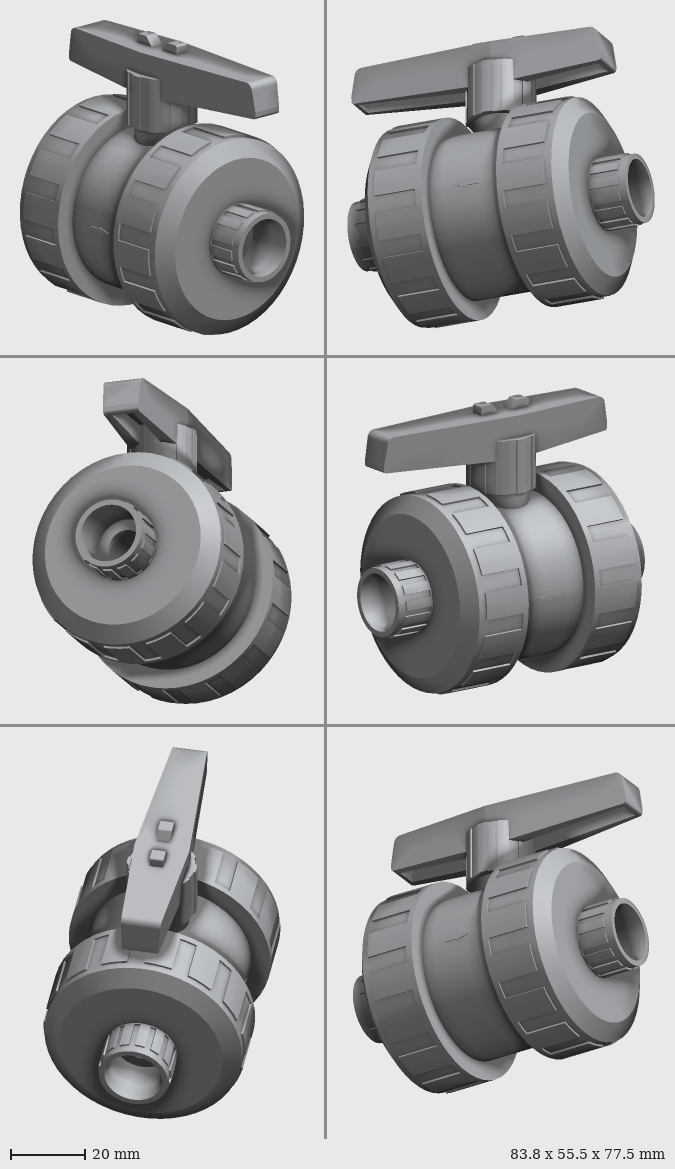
import cadquery as cq


body_dia = 45.0
bore_dia = 10.0

nut_inner_x = 11.1
nut_outer_x = 30.2
nut_dia = 55.5
nut_floor_dia = 54.35
nut_collar = 1.8
nut_pad_end_x = 25.1
nut_chamfer_x = 27.2
nut_face_dia = 45.0

spigot_end_x = 41.3
spigot_dia = 19.0
spigot_rib_dia = 20.0
spigot_collar = 0.4
spigot_rib_end_x = 38.95
socket_dia = 16.0
socket_depth = 13.4

pad_count = 14
pad_angle = 15.7
first_pad_angle = -85

cutter_wall = 1.7

arrow_height = 0.25
arrow_tail_x = -3.6
arrow_tip_x = 3.8
arrow_shaft_half = 0.6
arrow_head_half = 1.0

stem_dia = 15.0
stem_root_z = 16.75
hub_bottom_z = 26
hub_top_z = 41
hub_dia = 19.1
hub_floor_dia = 18.25
hub_tooth_count = 10
hub_tooth_angle = 18
hub_first_tooth = 90

handle_mid_x = -0.25
handle_left_x = -31.9
handle_right_x = 42.5
handle_top_z = 47.2
handle_mid_bottom_z = 34.9
handle_end_bottom_z = 37.35
end_straight_z = 39.4
end_lean = 1.4
handle_mid_half_width = 7.5
handle_narrowing = 0.069
handle_draft = 2
handle_top_fillet = 2.1
handle_bottom_fillet = 0.8

channel_width = 6.0
channel_end_wall = 1.7

lug_top_z = 49.8
lug_width = 3.8
lug_outer_x = 7.95
lug_inner_top_x = 4.2
lug_inner_base_x = 2.0
lug_fillet = 0.6


def cylinder(dia, start, end):
    """Cylinder about Z between two heights."""
    return cq.Workplane("XY").workplane(offset=start).circle(dia / 2).extrude(end - start)


def tooth_cutter(floor_dia, start, end, tooth_end, count, tooth_angle, first_tooth):
    """Ring about Z from start to end that leaves teeth standing up to tooth_end."""
    floor_radius = floor_dia / 2
    ring = cylinder(floor_dia + 2 * cutter_wall, start, end).cut(cylinder(floor_dia, start, end))
    section = (
        cq.Workplane("XZ")
        .moveTo(floor_radius - cutter_wall, start - cutter_wall)
        .lineTo(floor_radius + 2 * cutter_wall, start - cutter_wall)
        .lineTo(floor_radius + 2 * cutter_wall, tooth_end)
        .lineTo(floor_radius - cutter_wall, tooth_end)
        .close()
    )
    tooth = section.revolve(tooth_angle, (0, 0, 0), (0, 1, 0))
    for i in range(count):
        turn = first_tooth - tooth_angle / 2 + i * 360 / count
        ring = ring.cut(tooth.rotate((0, 0, 0), (0, 0, 1), turn))
    return ring


def make_end():
    """One nut with its spigot, pointing along +Z."""
    nut = (
        cq.Workplane("XZ")
        .moveTo(0, nut_inner_x)
        .lineTo(nut_dia / 2, nut_inner_x)
        .lineTo(nut_dia / 2, nut_chamfer_x)
        .lineTo(nut_floor_dia / 2, nut_chamfer_x)
        .lineTo(nut_face_dia / 2, nut_outer_x)
        .lineTo(0, nut_outer_x)
        .close()
        .revolve(360, (0, 0, 0), (0, 1, 0))
    )
    nut = nut.cut(tooth_cutter(
        nut_floor_dia, nut_inner_x + nut_collar, nut_outer_x, nut_pad_end_x,
        pad_count, pad_angle, first_pad_angle,
    ))
    spigot = cylinder(spigot_rib_dia, nut_outer_x, spigot_end_x)
    spigot = spigot.cut(tooth_cutter(
        spigot_dia, nut_outer_x + spigot_collar, spigot_end_x + cutter_wall, spigot_rib_end_x,
        pad_count, pad_angle, first_pad_angle,
    ))
    return nut.union(spigot)


def make_arrows():
    """Slightly raised flow arrows on the -Y and +Y flanks."""
    outline = [
        (arrow_tail_x, arrow_shaft_half),
        (0, arrow_shaft_half),
        (0, arrow_head_half),
        (arrow_tip_x, 0),
        (0, -arrow_head_half),
        (0, -arrow_shaft_half),
        (arrow_tail_x, -arrow_shaft_half),
    ]
    raised_radius = body_dia / 2 + arrow_height
    prism = cq.Workplane("XZ").polyline(outline).close().extrude(raised_radius + 0.8, both=True)
    skin = cq.Workplane("YZ").circle(raised_radius).extrude(nut_inner_x, both=True)
    return prism.intersect(skin)


def make_hub():
    """Stem with the serrated hub on top."""
    hub = cylinder(hub_dia, hub_bottom_z, hub_top_z)
    above_hub = hub_top_z + cutter_wall
    hub = hub.cut(tooth_cutter(
        hub_floor_dia, hub_bottom_z - cutter_wall, above_hub, above_hub,
        hub_tooth_count, hub_tooth_angle, hub_first_tooth,
    ))
    return hub.union(cylinder(stem_dia, stem_root_z, hub_bottom_z))


def make_handle():
    """Lever: a side profile trimmed by a drafted, tapering plan."""
    profile = (
        cq.Workplane("XZ")
        .moveTo(handle_mid_x, handle_mid_bottom_z)
        .lineTo(handle_right_x, handle_end_bottom_z)
        .lineTo(handle_right_x, end_straight_z)
        .lineTo(handle_right_x - end_lean, handle_top_z)
        .lineTo(handle_left_x + end_lean, handle_top_z)
        .lineTo(handle_left_x, end_straight_z)
        .lineTo(handle_left_x, handle_end_bottom_z)
        .close()
        .extrude(handle_mid_half_width, both=True)
    )
    corner_box = cq.selectors.BoxSelector
    margin = 0.8
    for x in (handle_left_x + end_lean, handle_right_x - end_lean):
        box = corner_box(
            (x - margin, -margin, handle_top_z - margin),
            (x + margin, margin, handle_top_z + margin),
        )
        profile = profile.edges(box).fillet(handle_top_fillet)
    for x in (handle_left_x, handle_right_x):
        box = corner_box(
            (x - margin, -margin, handle_end_bottom_z - margin),
            (x + margin, margin, handle_end_bottom_z + margin),
        )
        profile = profile.edges(box).fillet(handle_bottom_fillet)

    left = handle_left_x - margin
    right = handle_right_x + margin
    left_half = handle_mid_half_width - handle_narrowing * (handle_mid_x - left)
    right_half = handle_mid_half_width - handle_narrowing * (right - handle_mid_x)
    plan = (
        cq.Workplane("XY", origin=(0, 0, handle_top_z))
        .polyline([
            (left, left_half),
            (handle_mid_x, handle_mid_half_width),
            (right, right_half),
            (right, -right_half),
            (handle_mid_x, -handle_mid_half_width),
            (left, -left_half),
        ])
        .close()
        .extrude(handle_mid_bottom_z - handle_top_z, taper=handle_draft)
    )
    return profile.intersect(plan)


def make_channel():
    """Slot in the underside of the handle, up to the level of the hub top."""
    start = handle_left_x + channel_end_wall
    end = handle_right_x - channel_end_wall
    return (
        cq.Workplane("XY", origin=((start + end) / 2, 0, 0))
        .rect(end - start, channel_width)
        .extrude(hub_top_z)
    )


def make_lug():
    """Stop lug on the +X side of the handle top, with a sloped inner face."""
    return (
        cq.Workplane("XZ")
        .moveTo(lug_inner_base_x, handle_top_z)
        .lineTo(lug_outer_x, handle_top_z)
        .lineTo(lug_outer_x, lug_top_z)
        .lineTo(lug_inner_top_x, lug_top_z)
        .close()
        .extrude(lug_width / 2, both=True)
        .edges("|Y and >Z")
        .fillet(lug_fillet)
    )


end = make_end()
valve = cq.Workplane("YZ").circle(body_dia / 2).extrude(nut_inner_x, both=True)
valve = valve.union(end.rotate((0, 0, 0), (0, 1, 0), -90))
valve = valve.union(end.rotate((0, 0, 0), (0, 1, 0), 90))
valve = valve.union(make_arrows())

lug = make_lug()
handle = make_handle().cut(make_channel())
handle = handle.union(lug).union(lug.mirror("YZ"))
valve = valve.union(make_hub()).union(handle)

valve = valve.cut(cq.Workplane("YZ").circle(bore_dia / 2).extrude(spigot_end_x, both=True))
for side in (-1, 1):
    mouth = cq.Workplane("YZ", origin=(side * spigot_end_x, 0, 0))
    valve = valve.cut(mouth.circle(socket_dia / 2).extrude(-side * socket_depth))

result = valve